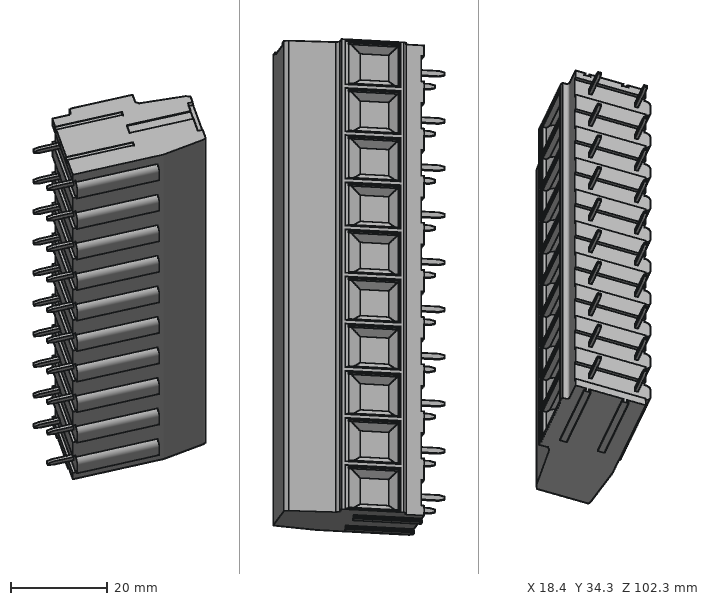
import cadquery as cq


POLE_COUNT = 10
POLE_ROW_SPAN = 91.5
FIRST_POLE_Z = 4.9
BODY_HEIGHT = 101.4

BODY_TOP_Y = 29.3
TOP_LEFT_X = 3.8
TOP_RIGHT_X = 15.3
LEFT_BEVEL_X = 0.4
LEFT_BEVEL_Y = 0.9
RIGHT_BEVEL_X = 0.3
RIGHT_BEVEL_Y = 0.6
BACK_SLOPE_Y = 19.7
ENTRY_STEP_X = 2.0
SHELF_BEVEL_X = 0.5
SHELF_BEVEL_Y = 0.7
BASE_X = 1.5
BACK_X = 17.1
ENTRY_TOP_Y = 17.8
ENTRY_BOTTOM_Y = 4.1
ENTRY_CORNER_R = 0.6
ENTRY_LIP_CHAMFER_X = 0.2
ENTRY_LIP_CHAMFER_Y = 0.5

MOUTH_TOP_Y = 17.0
MOUTH_BOTTOM_Y = 5.2
MOUTH_WALL = 0.8
MOUTH_DEPTH = 0.3
POCKET_TOP_Y = 16.3
POCKET_BOTTOM_Y = 5.5
POCKET_WALL = 1.4
FUNNEL_START_X = 1.1
FUNNEL_BOTTOM_Y = 5.0
FUNNEL_HEIGHT = 9.9
FLOOR_X = 2.9
FLOOR_TOP_Y = 13.3
FLOOR_BOTTOM_Y = 7.3
FLOOR_HEIGHT = 5.6

BASE_GROOVE_HEIGHT = 5.5
BASE_GROOVE_DEPTH = 0.6

TAB_REACH = 1.3
TAB_ROOT = 0.5
TAB_HEIGHT = 4.6
TAB_ROUND = 1.2
TAB_TOP_Y = 18.3

PIN_CENTRES_X = (5.0, 15.3)
PIN_THICKNESS = 0.7
PIN_WIDTH = 1.1
PIN_REACH = 5.0
PIN_ROOT_Y = 2.0
PIN_TIP_LENGTH = 1.2
PIN_TIP_WIDTH = 0.5

COUPLING_CENTRES_X = (4.2, 12.6)
COUPLING_TOP_Y = 14.4
PEG_NECK = 0.6
PEG_HEAD = 1.5
PEG_HEIGHT = 0.9
SLOT_MOUTH = 0.8
SLOT_FLOOR = 1.5
SLOT_DEPTH = 0.6

LABEL_LEFT_X = 5.3
LABEL_RIGHT_X = 13.0
LABEL_HEIGHT = 1.0
STRIP_LEFT_X = 7.5
STRIP_RIGHT_X = 9.6
LABEL_DEPTH = 0.5
LABEL_DRAFT = 0.4
STRIP_DEPTH = 0.3

POLE_PITCH = POLE_ROW_SPAN / (POLE_COUNT - 1)
POLE_CENTRES_Z = [FIRST_POLE_Z + i * POLE_PITCH for i in range(POLE_COUNT)]


def block(x0, x1, y0, y1, z0, z1):
    """Axis-aligned box between two opposite corners."""
    return cq.Workplane("XY").box(x1 - x0, y1 - y0, z1 - z0, centered=False).translate((x0, y0, z0))


def make_body():
    """Side profile swept along the row of poles."""
    return (
        cq.Workplane("XY")
        .moveTo(BASE_X, 0)
        .lineTo(BACK_X, 0)
        .lineTo(BACK_X, BACK_SLOPE_Y)
        .lineTo(TOP_RIGHT_X + RIGHT_BEVEL_X, BODY_TOP_Y - RIGHT_BEVEL_Y)
        .lineTo(TOP_RIGHT_X, BODY_TOP_Y)
        .lineTo(TOP_LEFT_X, BODY_TOP_Y)
        .lineTo(TOP_LEFT_X - LEFT_BEVEL_X, BODY_TOP_Y - LEFT_BEVEL_Y)
        .lineTo(ENTRY_STEP_X + SHELF_BEVEL_X, ENTRY_TOP_Y + SHELF_BEVEL_Y)
        .lineTo(ENTRY_STEP_X, ENTRY_TOP_Y)
        .lineTo(0, ENTRY_TOP_Y)
        .lineTo(0, ENTRY_BOTTOM_Y + ENTRY_LIP_CHAMFER_Y)
        .lineTo(ENTRY_LIP_CHAMFER_X, ENTRY_BOTTOM_Y)
        .lineTo(BASE_X - ENTRY_CORNER_R, ENTRY_BOTTOM_Y)
        .radiusArc((BASE_X, ENTRY_BOTTOM_Y - ENTRY_CORNER_R), ENTRY_CORNER_R)
        .close()
        .extrude(BODY_HEIGHT)
    )


def make_wire_pocket(z):
    """Shallow mouth, then a straight-sided pocket with a funnel at its bottom."""
    mouth_half = (POLE_PITCH - MOUTH_WALL) / 2
    pocket_half = (POLE_PITCH - POCKET_WALL) / 2
    funnel_middle_y = (FUNNEL_BOTTOM_Y + POCKET_TOP_Y) / 2
    floor_middle_y = (FLOOR_BOTTOM_Y + FLOOR_TOP_Y) / 2

    def pocket_block(x1):
        return block(0, x1, POCKET_BOTTOM_Y, POCKET_TOP_Y, z - pocket_half, z + pocket_half)

    mouth = block(0, MOUTH_DEPTH, MOUTH_BOTTOM_Y, MOUTH_TOP_Y, z - mouth_half, z + mouth_half)
    funnel = (
        cq.Workplane("YZ", origin=(FUNNEL_START_X, funnel_middle_y, z))
        .rect(POCKET_TOP_Y - FUNNEL_BOTTOM_Y, FUNNEL_HEIGHT)
        .workplane(offset=FLOOR_X - FUNNEL_START_X)
        .center(floor_middle_y - funnel_middle_y, 0)
        .rect(FLOOR_TOP_Y - FLOOR_BOTTOM_Y, FLOOR_HEIGHT)
        .loft(ruled=True)
    )
    funnel = funnel.intersect(pocket_block(FLOOR_X))
    return mouth.union(pocket_block(FUNNEL_START_X)).union(funnel)


def make_base_groove(z):
    """Groove across the base, under one pole."""
    half = BASE_GROOVE_HEIGHT / 2
    return block(BASE_X, BACK_X, 0, BASE_GROOVE_DEPTH, z - half, z + half)


def make_tab(z):
    """Rounded rib on the back of one pole, rooted slightly inside the body."""
    return (
        block(BACK_X - TAB_ROOT, BACK_X + TAB_REACH, BASE_GROOVE_DEPTH, TAB_TOP_Y,
              z - TAB_HEIGHT / 2, z + TAB_HEIGHT / 2)
        .edges("|Y and >X")
        .fillet(TAB_ROUND)
    )


def make_pin(x, z):
    """Flat solder pin with a tapered tip, rooted inside the body."""
    shoulder_y = PIN_TIP_LENGTH - PIN_REACH
    return (
        cq.Workplane("YZ", origin=(x, 0, z))
        .polyline([
            (PIN_ROOT_Y, -PIN_WIDTH / 2),
            (shoulder_y, -PIN_WIDTH / 2),
            (-PIN_REACH, -PIN_TIP_WIDTH / 2),
            (-PIN_REACH, PIN_TIP_WIDTH / 2),
            (shoulder_y, PIN_WIDTH / 2),
            (PIN_ROOT_Y, PIN_WIDTH / 2),
        ])
        .close()
        .extrude(PIN_THICKNESS / 2, both=True)
    )


def make_coupling_slot(x):
    """Dovetail slot in the +Z end face, open at the base."""
    floor_z = BODY_HEIGHT - SLOT_DEPTH
    return (
        cq.Workplane("XZ", origin=(x, 0, 0))
        .polyline([
            (-SLOT_MOUTH / 2, BODY_HEIGHT),
            (SLOT_MOUTH / 2, BODY_HEIGHT),
            (SLOT_FLOOR / 2, floor_z),
            (-SLOT_FLOOR / 2, floor_z),
        ])
        .close()
        .extrude(-COUPLING_TOP_Y)
    )


def make_coupling_peg(x):
    """Peg below the -Z end face: a neck flaring to a wider head, in equal thirds."""
    third = PEG_HEIGHT / 3
    neck = PEG_NECK / 2
    head = PEG_HEAD / 2
    return (
        cq.Workplane("XZ", origin=(x, 0, 0))
        .polyline([
            (-neck, 0),
            (neck, 0),
            (neck, -third),
            (head, -2 * third),
            (head, -PEG_HEIGHT),
            (-head, -PEG_HEIGHT),
            (-head, -2 * third),
            (-neck, -third),
        ])
        .close()
        .extrude(-COUPLING_TOP_Y)
    )


def make_end_recesses():
    """Drafted label notch and shallow centre strip in the +Z end face."""
    label_bottom_y = BODY_TOP_Y - LABEL_HEIGHT
    label_floor_z = BODY_HEIGHT - LABEL_DEPTH
    label = (
        cq.Workplane("XZ", origin=(0, label_bottom_y, 0))
        .polyline([
            (LABEL_LEFT_X, BODY_HEIGHT),
            (LABEL_LEFT_X + LABEL_DRAFT, label_floor_z),
            (LABEL_RIGHT_X - LABEL_DRAFT, label_floor_z),
            (LABEL_RIGHT_X, BODY_HEIGHT),
        ])
        .close()
        .extrude(-LABEL_HEIGHT)
    )
    strip = block(STRIP_LEFT_X, STRIP_RIGHT_X, COUPLING_TOP_Y, label_bottom_y,
                  BODY_HEIGHT - STRIP_DEPTH, BODY_HEIGHT)
    return label.union(strip)


result = make_body().cut(make_end_recesses())

for pole_z in POLE_CENTRES_Z:
    result = result.cut(make_wire_pocket(pole_z)).union(make_tab(pole_z))
    result = result.cut(make_base_groove(pole_z))
    for pin_x in PIN_CENTRES_X:
        result = result.union(make_pin(pin_x, pole_z))

for coupling_x in COUPLING_CENTRES_X:
    result = result.cut(make_coupling_slot(coupling_x))
    result = result.union(make_coupling_peg(coupling_x))